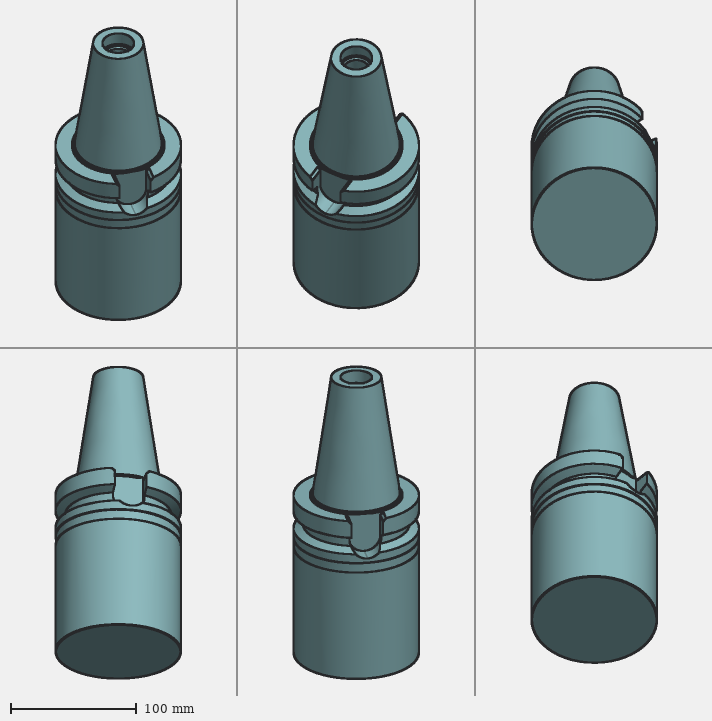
import cadquery as cq
import math

GAUGE_Z = 140.0
TAPER_LENGTH = 101.8
TOP_Z = GAUGE_Z + TAPER_LENGTH

GAUGE_RADIUS = 69.85 / 2
TAPER_RATE = 7 / 24
TOP_RADIUS = GAUGE_RADIUS - TAPER_LENGTH * TAPER_RATE / 2

NECK_RADIUS = 69.25 / 2
NECK_TOP_Z = GAUGE_Z - 0.3
RELIEF_RADIUS = 36.9
RELIEF_DEPTH = 0.5
RELIEF_FLANK_WIDTH = 0.85

FLANGE_RADIUS = 50.0
FLANGE_TOP_Z = GAUGE_Z - 1.5
FLANGE_BOTTOM_Z = GAUGE_Z - 38.0
GROOVE_RADIUS = 85.0 / 2
GROOVE_CENTER_Z = GAUGE_Z - 23.2
GROOVE_FLOOR_WIDTH = 7.0
GROOVE_FLANK_HEIGHT = 3.75

BODY_RADIUS = 50.0
BAND_RADIUS = 99.5 / 2
BAND_HEIGHT = 8.5
BAND_CHAMFER_HEIGHT = 0.5
BODY_CHAMFER = 0.5

SLOT_WIDTH = 25.7
SLOT_HALF_WIDTH = SLOT_WIDTH / 2
SLOT_CORNER_RADIUS = 25.47 / 2
SLOT_FLAT_HALF_WIDTH = SLOT_HALF_WIDTH - SLOT_CORNER_RADIUS
SLOT_FLOOR_X = 35.4
SLOT_BOTTOM_Z = 105.6
SLOT_CHAMFER = 2.5
SLOT_LENGTH = FLANGE_RADIUS

BORE_RADIUS = 25.02 / 2
BORE_DEPTH = 10.85
UNDERCUT_RADIUS = 25.47 / 2
UNDERCUT_BOTTOM_DEPTH = 13.1
DRILL_RADIUS = 21.0 / 2
COUNTERSINK_HEIGHT = 1.0
DRILL_DEPTH = 60.0
DRILL_POINT_ANGLE = 118.0
DRILL_POINT_HEIGHT = DRILL_RADIUS / math.tan(math.radians(DRILL_POINT_ANGLE / 2))


def turned_blank():
    """Revolve the solid outline of taper, flange and body about Z."""
    floor_top_z = GROOVE_CENTER_Z + GROOVE_FLOOR_WIDTH / 2
    floor_bottom_z = GROOVE_CENTER_Z - GROOVE_FLOOR_WIDTH / 2
    outline = [
        (0, 0),
        (BODY_RADIUS - BODY_CHAMFER, 0),
        (BODY_RADIUS, BODY_CHAMFER),
        (BODY_RADIUS, FLANGE_BOTTOM_Z - BAND_HEIGHT),
        (BAND_RADIUS, FLANGE_BOTTOM_Z - BAND_HEIGHT),
        (BAND_RADIUS, FLANGE_BOTTOM_Z - BAND_CHAMFER_HEIGHT),
        (FLANGE_RADIUS, FLANGE_BOTTOM_Z),
        (FLANGE_RADIUS, floor_bottom_z - GROOVE_FLANK_HEIGHT),
        (GROOVE_RADIUS, floor_bottom_z),
        (GROOVE_RADIUS, floor_top_z),
        (FLANGE_RADIUS, floor_top_z + GROOVE_FLANK_HEIGHT),
        (FLANGE_RADIUS, FLANGE_TOP_Z),
        (RELIEF_RADIUS, FLANGE_TOP_Z),
        (RELIEF_RADIUS - RELIEF_FLANK_WIDTH, FLANGE_TOP_Z - RELIEF_DEPTH),
        (NECK_RADIUS + RELIEF_FLANK_WIDTH, FLANGE_TOP_Z - RELIEF_DEPTH),
        (NECK_RADIUS, FLANGE_TOP_Z),
        (NECK_RADIUS, NECK_TOP_Z),
        (GAUGE_RADIUS, GAUGE_Z),
        (TOP_RADIUS, TOP_Z),
        (0, TOP_Z),
    ]
    return cq.Workplane("XZ").polyline(outline).close().revolve(360, (0, 0, 0), (0, 1, 0))


def pull_stud_hole():
    """Blind hole with a bore, an undercut, a countersink and a conical drill point."""
    drill_end_z = TOP_Z - DRILL_DEPTH
    outline = [
        (0, TOP_Z),
        (BORE_RADIUS, TOP_Z),
        (BORE_RADIUS, TOP_Z - BORE_DEPTH),
        (UNDERCUT_RADIUS, TOP_Z - BORE_DEPTH),
        (UNDERCUT_RADIUS, TOP_Z - UNDERCUT_BOTTOM_DEPTH),
        (DRILL_RADIUS, TOP_Z - UNDERCUT_BOTTOM_DEPTH - COUNTERSINK_HEIGHT),
        (DRILL_RADIUS, drill_end_z),
        (0, drill_end_z - DRILL_POINT_HEIGHT),
    ]
    return cq.Workplane("XZ").polyline(outline).close().revolve(360, (0, 0, 0), (0, 1, 0))


def drive_slot(side):
    """Slot with rounded bottom corners and a chamfered mouth; side is +1 for +X, -1 for -X."""
    arc_center_z = SLOT_BOTTOM_Z + SLOT_CORNER_RADIUS
    chamfer_bottom_z = FLANGE_TOP_Z - SLOT_CHAMFER
    mouth_half_width = SLOT_HALF_WIDTH + SLOT_CHAMFER
    return (
        cq.Workplane("YZ", origin=(side * SLOT_FLOOR_X, 0, 0))
        .moveTo(-mouth_half_width, FLANGE_TOP_Z)
        .lineTo(-SLOT_HALF_WIDTH, chamfer_bottom_z)
        .lineTo(-SLOT_HALF_WIDTH, arc_center_z)
        .radiusArc((-SLOT_FLAT_HALF_WIDTH, SLOT_BOTTOM_Z), -SLOT_CORNER_RADIUS)
        .lineTo(SLOT_FLAT_HALF_WIDTH, SLOT_BOTTOM_Z)
        .radiusArc((SLOT_HALF_WIDTH, arc_center_z), -SLOT_CORNER_RADIUS)
        .lineTo(SLOT_HALF_WIDTH, chamfer_bottom_z)
        .lineTo(mouth_half_width, FLANGE_TOP_Z)
        .close()
        .extrude(side * SLOT_LENGTH)
    )


result = turned_blank().cut(pull_stud_hole())
for slot_side in (-1, 1):
    result = result.cut(drive_slot(slot_side))